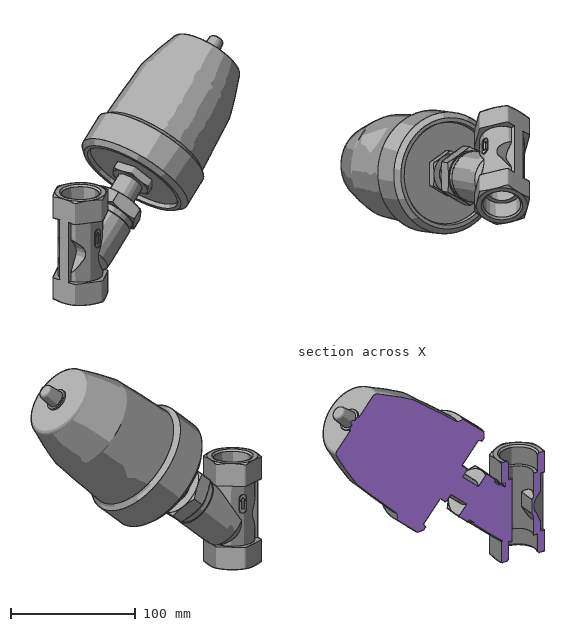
import cadquery as cq
import math


VALVE_LENGTH = 90.0
HEX_FLATS = 41.0
HEX_HEIGHT = 19.2
HEX_EDGE_RADIUS = 2.0
PIPE_RADIUS = 36.0 / 2
BORE_RADIUS = 24.0 / 2
THREAD_RADIUS = 30.29 / 2
THREAD_DEPTH = 17.0
THREAD_CHAMFER = 1.5
HEX_CHAMFER_ANGLE = 20.0

RIB_WIDTH = 9.4
WAIST_DEPTH_Y = -10.6
WAIST_TANGENT_Y = -12.8
WAIST_OUTER_Y = -22.0
WAIST_MID_Z = 43.3
WAIST_HALF_HEIGHT = 6.4
WAIST_UPPER_SLOPE = 1.22
WAIST_LOWER_SLOPE = 2.24
INNER_FACE_Y = -8.3
INNER_WAIST_SHIFT = INNER_FACE_Y - WAIST_TANGENT_Y

PAD_FACE_X = 18.7
PAD_WIDTH = 6.3
PAD_LENGTH = 15.7
PAD_MID_Z = 54.5
ARROW_DEPTH = 0.4
ARROW_LENGTH = 9.7
ARROW_MID_Z = 55.1
ARROW_HEAD_LENGTH = 3.0
ARROW_HEAD_WIDTH = 5.0
ARROW_SHAFT_WIDTH = 2.4

NECK_HEIGHT = 28.0
NECK_TILT = 50.0

NECK_RADIUS = 41.0 / 2
COLLAR_RADIUS = 39.0 / 2
NECK_CONE_RADIUS = 20.1
NECK_TIP_RADIUS = 16.5
NECK_TIP_STATION = 2.0
NECK_CONE_STATION = 8.9
NECK_CYLINDER_STATION = 16.6
NECK_TOP_STATION = 44.6
NECK_NUT_BOTTOM = 50.0
NECK_NUT_TOP = 62.0
STEM_RADIUS = 22.0 / 2
STEM_NUT_FLATS = 32.0
STEM_NUT_BOTTOM = 81.0
STEM_NUT_EDGE_RADIUS = 1.0

FLANGE_RADIUS = 98.0 / 2
FLANGE_BOTTOM = 84.5
FLANGE_RIM_RADIUS = 44.8
FLANGE_CHAMFER_HEIGHT = 4.0
FLANGE_TOP = 114.1
RECESS_RADIUS = 83.3 / 2
RECESS_FLOOR_RADIUS = 81.7 / 2
RECESS_DEPTH = 3.5
FLANGE_SLOPE_HEIGHT = 1.8
ROOT_RADIUS = 46.6
ROOT_HEIGHT = 1.8
HOUSING_RADIUS = 44.9
HOUSING_BULGE = 0.2
SHOULDER_RADIUS = 41.7
SHOULDER_STATION = 169.1
SHOULDER_LAND = 1.4
CAP_BULGE = 0.5
CAP_EDGE_RADIUS = 31.1
CAP_FLAT_RADIUS = 26.5
CAP_EDGE_STATION = 203.1
CAP_TOP = 206.7

INDICATOR_COLLAR_RADIUS = 18.2 / 2
INDICATOR_COLLAR_HEIGHT = 1.6
INDICATOR_BASE_RADIUS = 14.4 / 2
INDICATOR_TIP_RADIUS = 12.0 / 2
INDICATOR_FLAT_RADIUS = 6.4 / 2
INDICATOR_TIP = 222.5

INDICATOR_ROUND = INDICATOR_TIP_RADIUS - INDICATOR_FLAT_RADIUS
QUARTER = math.sqrt(0.5)


def cylinder(radius, start, end):
    return cq.Workplane("XY").workplane(offset=start).circle(radius).extrude(end - start)


def hexagon(flats, start, end, edge_radius=0):
    """Hexagonal prism along Z, optionally with rounded corners, and two corners on the X axis."""
    across_corners = flats / math.cos(math.radians(30))
    prism = cq.Workplane("XY").workplane(offset=start).polygon(6, across_corners).extrude(end - start)
    if edge_radius > 0:
        prism = prism.edges("|Z").fillet(edge_radius)
    return prism


def corner_trim(flats, start, end):
    """Cone frustum opening from the across-flats circle at start, for trimming hexagon corners."""
    growth = abs(end - start) / math.tan(math.radians(HEX_CHAMFER_ANGLE))
    points = [(0, start), (flats / 2, start), (flats / 2 + growth, end), (0, end)]
    return revolve_profile(cq.Workplane("XZ").polyline(points))


def revolve_profile(outline):
    """Revolve an open (radius, height) outline about Z."""
    return outline.close().revolve(360, (0, 0), (0, 1))


def incline(shape):
    return shape.rotate((0, 0, 0), (1, 0, 0), -NECK_TILT).translate((0, 0, NECK_HEIGHT))


def waist_block(shift, rounded):
    """Prism along X whose +Y side is the waist outline, moved by shift; its peak is rounded or flat."""
    reach = WAIST_TANGENT_Y - WAIST_OUTER_Y
    top = WAIST_MID_Z + WAIST_HALF_HEIGHT
    bottom = WAIST_MID_Z - WAIST_HALF_HEIGHT
    outer_y = WAIST_OUTER_Y + shift
    tangent_y = WAIST_TANGENT_Y + shift
    outline = cq.Workplane("YZ").moveTo(outer_y, top + reach * WAIST_UPPER_SLOPE).lineTo(tangent_y, top)
    if rounded:
        outline = outline.threePointArc((WAIST_DEPTH_Y + shift, WAIST_MID_Z), (tangent_y, bottom))
    else:
        outline = outline.lineTo(tangent_y, bottom)
    outline = outline.lineTo(outer_y, bottom - reach * WAIST_LOWER_SLOPE).close()
    return outline.extrude(PIPE_RADIUS + 1, both=True)


def valve_outside():
    lower_hex = hexagon(HEX_FLATS, 0, HEX_HEIGHT, HEX_EDGE_RADIUS)
    lower_hex = lower_hex.intersect(corner_trim(HEX_FLATS, 0, HEX_HEIGHT))
    upper_start = VALVE_LENGTH - HEX_HEIGHT
    upper_hex = hexagon(HEX_FLATS, upper_start, VALVE_LENGTH, HEX_EDGE_RADIUS)
    upper_hex = upper_hex.intersect(corner_trim(HEX_FLATS, VALVE_LENGTH, upper_start))
    pipe = cylinder(PIPE_RADIUS, HEX_HEIGHT, upper_start).cut(waist_block(0, rounded=True))
    rib_depth = HEX_FLATS / 2
    rib = cq.Workplane("XY").box(RIB_WIDTH, rib_depth, VALVE_LENGTH - 2 * HEX_HEIGHT)
    rib = rib.translate((0, -rib_depth / 2, VALVE_LENGTH / 2))
    return pipe.union(rib).union(lower_hex).union(upper_hex)


def flow_pads():
    """Raised stadium on each side, with a sunken arrow pointing up."""
    pad = (
        cq.Workplane("YZ")
        .center(0, PAD_MID_Z)
        .slot2D(PAD_LENGTH, PAD_WIDTH, 90)
        .extrude(PAD_FACE_X, both=True)
    )
    tip = ARROW_LENGTH / 2
    shoulder = tip - ARROW_HEAD_LENGTH
    shaft = ARROW_SHAFT_WIDTH / 2
    head = ARROW_HEAD_WIDTH / 2
    points = [(-shaft, -tip), (shaft, -tip), (shaft, shoulder), (head, shoulder)]
    points += [(0, tip), (-head, shoulder), (-shaft, shoulder)]
    for face_x in (PAD_FACE_X - ARROW_DEPTH, -PAD_FACE_X):
        arrow = cq.Workplane("YZ", origin=(face_x, 0, ARROW_MID_Z)).polyline(points).close()
        pad = pad.cut(arrow.extrude(ARROW_DEPTH))
    return pad


def valve_passage():
    bore = cylinder(BORE_RADIUS, 0, VALVE_LENGTH).cut(waist_block(INNER_WAIST_SHIFT, rounded=False))
    mouth = THREAD_RADIUS + THREAD_CHAMFER
    thread = revolve_profile(
        cq.Workplane("XZ").polyline(
            [
                (0, 0),
                (mouth, 0),
                (THREAD_RADIUS, THREAD_CHAMFER),
                (THREAD_RADIUS, THREAD_DEPTH),
                (0, THREAD_DEPTH),
            ]
        )
    )
    upper_thread = thread.mirror("XY").translate((0, 0, VALVE_LENGTH))
    return bore.union(thread).union(upper_thread)


def neck():
    branch = revolve_profile(
        cq.Workplane("XZ")
        .moveTo(0, NECK_TIP_STATION)
        .lineTo(NECK_TIP_RADIUS, NECK_TIP_STATION)
        .lineTo(NECK_CONE_RADIUS, NECK_CONE_STATION)
        .lineTo(NECK_RADIUS, NECK_CYLINDER_STATION)
        .lineTo(NECK_RADIUS, NECK_TOP_STATION)
        .lineTo(0, NECK_TOP_STATION)
    )
    collar = cylinder(COLLAR_RADIUS, NECK_TOP_STATION, NECK_NUT_BOTTOM)
    nut = hexagon(HEX_FLATS, NECK_NUT_BOTTOM, NECK_NUT_TOP)
    nut = nut.intersect(corner_trim(HEX_FLATS, NECK_NUT_BOTTOM, NECK_NUT_TOP))
    nut = nut.intersect(corner_trim(HEX_FLATS, NECK_NUT_TOP, NECK_NUT_BOTTOM))
    return branch.union(collar).union(nut)


def stem():
    floor = FLANGE_BOTTOM + RECESS_DEPTH
    rod = cylinder(STEM_RADIUS, NECK_NUT_TOP, floor)
    nut = hexagon(STEM_NUT_FLATS, STEM_NUT_BOTTOM, floor, STEM_NUT_EDGE_RADIUS)
    nut = nut.intersect(corner_trim(STEM_NUT_FLATS, STEM_NUT_BOTTOM, floor))
    return rod.union(nut)


def actuator():
    root_bottom = FLANGE_TOP + FLANGE_SLOPE_HEIGHT
    root_top = root_bottom + ROOT_HEIGHT
    shoulder_bottom = SHOULDER_STATION - SHOULDER_LAND
    housing_mid = (
        (HOUSING_RADIUS + SHOULDER_RADIUS) / 2 + HOUSING_BULGE,
        (root_top + shoulder_bottom) / 2,
    )
    cap_side_mid = (
        (SHOULDER_RADIUS + CAP_EDGE_RADIUS) / 2 + CAP_BULGE,
        (SHOULDER_STATION + CAP_EDGE_STATION) / 2,
    )
    cap_round_mid = (
        CAP_FLAT_RADIUS + (CAP_EDGE_RADIUS - CAP_FLAT_RADIUS) * QUARTER,
        CAP_EDGE_STATION + (CAP_TOP - CAP_EDGE_STATION) * QUARTER,
    )
    floor = FLANGE_BOTTOM + RECESS_DEPTH
    return revolve_profile(
        cq.Workplane("XZ")
        .moveTo(0, floor)
        .lineTo(RECESS_FLOOR_RADIUS, floor)
        .lineTo(RECESS_RADIUS, FLANGE_BOTTOM)
        .lineTo(FLANGE_RIM_RADIUS, FLANGE_BOTTOM)
        .lineTo(FLANGE_RADIUS, FLANGE_BOTTOM + FLANGE_CHAMFER_HEIGHT)
        .lineTo(FLANGE_RADIUS, FLANGE_TOP)
        .lineTo(ROOT_RADIUS, root_bottom)
        .lineTo(HOUSING_RADIUS, root_top)
        .threePointArc(housing_mid, (SHOULDER_RADIUS, shoulder_bottom))
        .lineTo(SHOULDER_RADIUS, SHOULDER_STATION)
        .threePointArc(cap_side_mid, (CAP_EDGE_RADIUS, CAP_EDGE_STATION))
        .threePointArc(cap_round_mid, (CAP_FLAT_RADIUS, CAP_TOP))
        .lineTo(0, CAP_TOP)
    )


def indicator():
    collar_top = CAP_TOP + INDICATOR_COLLAR_HEIGHT
    round_start = INDICATOR_TIP - INDICATOR_ROUND
    round_mid = (
        INDICATOR_FLAT_RADIUS + INDICATOR_ROUND * QUARTER,
        round_start + INDICATOR_ROUND * QUARTER,
    )
    return revolve_profile(
        cq.Workplane("XZ")
        .moveTo(0, CAP_TOP)
        .lineTo(INDICATOR_COLLAR_RADIUS, CAP_TOP)
        .lineTo(INDICATOR_COLLAR_RADIUS, collar_top)
        .lineTo(INDICATOR_BASE_RADIUS, collar_top)
        .lineTo(INDICATOR_TIP_RADIUS, round_start)
        .threePointArc(round_mid, (INDICATOR_FLAT_RADIUS, INDICATOR_TIP))
        .lineTo(0, INDICATOR_TIP)
    )


upper_works = incline(neck().union(stem()).union(actuator()).union(indicator()))
result = valve_outside().union(flow_pads()).union(upper_works).cut(valve_passage())